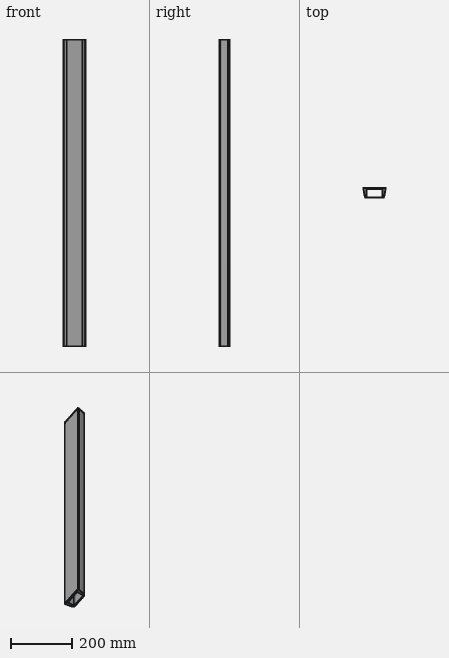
import cadquery as cq

length = 1000.0
width = 74.0
depth = 33.0

lip_height = 6.0
lip_taper = 0.5
lip_overhang = 1.0

front_width = 60.0
side_bulge = 1.2
corner_radius = 6.0

cavity_width = 52.0
front_wall = 3.0
back_wall = 5.0

front_y = -depth / 2
back_y = depth / 2
lip_y = back_y - lip_height

front_x = front_width / 2
back_x = width / 2
lip_x = back_x - lip_taper
side_x = lip_x - lip_overhang

side_mid_x = (side_x + front_x) / 2 + side_bulge
side_mid_y = (lip_y + front_y) / 2


def make_body(plane):
    """Solid bar with the full outer outline and rounded front corners."""
    outline = (
        plane.moveTo(-front_x, front_y)
        .lineTo(front_x, front_y)
        .threePointArc((side_mid_x, side_mid_y), (side_x, lip_y))
        .lineTo(lip_x, lip_y)
        .lineTo(back_x, back_y)
        .lineTo(-back_x, back_y)
        .lineTo(-lip_x, lip_y)
        .lineTo(-side_x, lip_y)
        .threePointArc((-side_mid_x, side_mid_y), (-front_x, front_y))
        .close()
    )
    bar = outline.extrude(length)
    return bar.faces("<Y").edges("|Z").fillet(corner_radius)


def make_cavity(plane):
    """Rectangular opening that runs through the whole length."""
    cavity_depth = depth - front_wall - back_wall
    cavity_y = (front_wall - back_wall) / 2
    return plane.center(0, cavity_y).rect(cavity_width, cavity_depth).extrude(length)


bottom_plane = cq.Workplane("XY", origin=(0, 0, -length / 2))
result = make_body(bottom_plane).cut(make_cavity(bottom_plane))